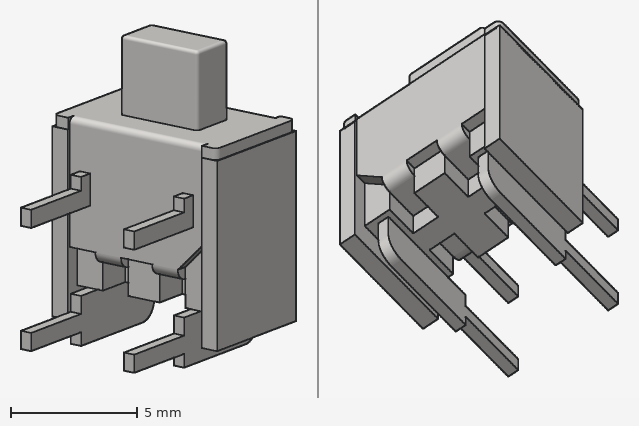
import cadquery as cq

case_width = 8.13
case_depth = 5.25
body_width = 6.6
body_depth = 5.0
body_bottom = 2.07
plate_bottom = 0.79
plate_top = 8.64
case_top = 9.13
total_height = 12.4
plate_thickness = (case_width - body_width) / 2
body_front = -body_depth / 2

shell_edge_radius = 0.27
shell_bottom = 3.77
shell_slope_size = 1.25
shell_thickness = 0.5

slot_width = 1.26
slot_spacing = 2.8
slot_depth = 1.49
tab_bend_radius = shell_thickness

cap_width = 8.05
cap_depth = 5.2
cap_corner_radius = 0.27

button_width = 3.81
button_depth = 2.02
button_edge_radius = 0.15

terminal_thickness = 0.51
terminal_pitch = 5.08
leg_height = 0.76
heel_front = -case_depth / 2 - 0.48
leg_tip = -case_depth / 2 - 3.8
lower_leg_top = 1.33
upper_leg_top = lower_leg_top + terminal_pitch
upper_heel_rise = 0.57
blade_back = 1.76
blade_corner_radius = 0.8


def box(x_range, y_range, z_range):
    """Block between the given limits on each axis."""
    size = [high - low for low, high in (x_range, y_range, z_range)]
    corner = (x_range[0], y_range[0], z_range[0])
    return cq.Workplane("XY").box(*size, centered=False).translate(corner)


def centred_box(width, depth, z_range):
    """Block centred on the Z axis."""
    return box((-width / 2, width / 2), (-depth / 2, depth / 2), z_range)


def front_recess():
    """Space below the front shell edge, including its sloped corner."""
    half_width = body_width / 2
    outline = [
        (-half_width, body_bottom),
        (half_width, body_bottom),
        (half_width, shell_bottom + shell_slope_size),
        (half_width - shell_slope_size, shell_bottom),
        (-half_width, shell_bottom),
    ]
    recess = cq.Workplane("XZ", origin=(0, body_front, 0)).polyline(outline).close()
    return recess.extrude(-shell_thickness)


def front_tab(x_centre):
    """Cylinder giving the outer bend of a front shell tab; its other parts lie inside the body."""
    start = (x_centre - slot_width / 2, body_front + tab_bend_radius, shell_bottom)
    return cq.Workplane("YZ", origin=start).circle(tab_bend_radius).extrude(slot_width)


def body():
    """Body with shell; the lower details are the same on its front and back."""
    block = centred_box(body_width, body_depth, (body_bottom, case_top))
    block = block.faces(">Z").edges("|X").fillet(shell_edge_radius)
    slot_top = shell_bottom - tab_bend_radius
    slot_back = body_front + shell_thickness + slot_depth
    recess = front_recess()
    for x_centre in (-slot_spacing / 2, slot_spacing / 2):
        slot_x = (x_centre - slot_width / 2, x_centre + slot_width / 2)
        slot = box(slot_x, (body_front, slot_back), (body_bottom, slot_top))
        recess = recess.cut(front_tab(x_centre)).union(slot)
    return block.cut(recess).cut(recess.mirror("XZ"))


def side_plate(side):
    """Side plate; side is -1 for left and 1 for right."""
    plate = centred_box(plate_thickness, case_depth, (plate_bottom, plate_top))
    return plate.translate((side * (case_width - plate_thickness) / 2, 0, 0))


def cap_ends():
    """Both cap ends, cut from one rounded slab."""
    slab = centred_box(cap_width, cap_depth, (plate_top, case_top))
    slab = slab.edges("|Z").fillet(cap_corner_radius)
    return slab.cut(centred_box(body_width, case_depth, (plate_top, case_top)))


def button():
    """Push button with rounded upright and top edges."""
    block = centred_box(button_width, button_depth, (case_top, total_height))
    return block.edges("|Z or >Z").fillet(button_edge_radius)


def leg(x_range, leg_top):
    """Straight leg of a terminal."""
    return box(x_range, (leg_tip, heel_front), (leg_top - leg_height, leg_top))


def terminals(x_centre):
    """Upper and lower terminal at one X position."""
    x_range = (x_centre - terminal_thickness / 2, x_centre + terminal_thickness / 2)
    upper_heel = box(
        x_range,
        (heel_front, body_front),
        (upper_leg_top - leg_height, upper_leg_top + upper_heel_rise),
    )
    lower_blade = box(x_range, (heel_front, blade_back), (0, body_bottom))
    lower_blade = lower_blade.edges(">Y and <Z").fillet(blade_corner_radius)
    upper = upper_heel.union(leg(x_range, upper_leg_top))
    return upper.union(lower_blade).union(leg(x_range, lower_leg_top))


result = body().union(cap_ends()).union(button())
for side in (-1, 1):
    result = result.union(side_plate(side))
    result = result.union(terminals(side * terminal_pitch / 2))